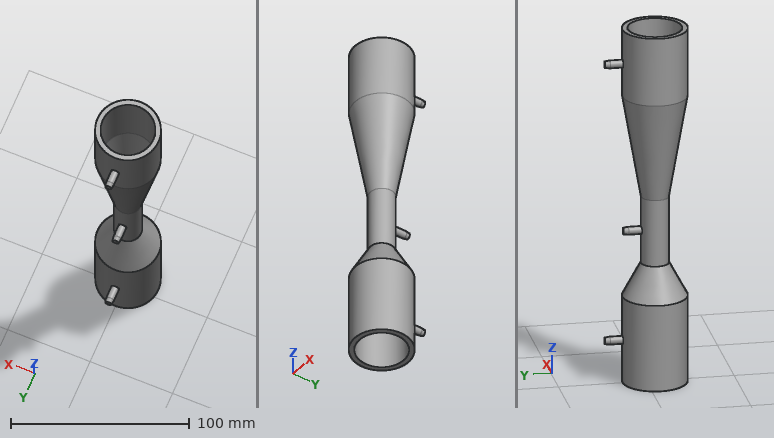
import cadquery as cq

total_length = 210.0
inlet_length = 51.0
inlet_cone_length = 19.5
throat_length = 39.5
outlet_length = 40.0
throat_bottom = inlet_length + inlet_cone_length
throat_top = throat_bottom + throat_length
outlet_bottom = total_length - outlet_length

end_radius = 18.5
throat_radius = 8.0
wall = 3.2
end_bore_radius = end_radius - wall
throat_bore_radius = throat_radius - wall

tap_radius = 2.3
tap_length = 10.0
tap_tip_length = 2.7
tap_tip_radius = 1.9
inlet_tap_height = 25.5
throat_tap_height = 90.0
outlet_tap_height = total_length - 20.2


def revolved_tube(stations):
    """Hollow solid of revolution from (height, outer radius, bore radius) stations."""
    outside = [(outer, height) for height, outer, bore in stations]
    inside = [(bore, height) for height, outer, bore in reversed(stations)]
    return cq.Workplane("XZ").polyline(outside + inside).close().revolve(360, (0, 0), (0, 1))


def pressure_tap(height, tube_radius, bore_radius):
    """Solid round tap with a tapered tip, rooted midway through the tube wall."""
    root = (tube_radius + bore_radius) / 2
    tip = tube_radius + tap_length
    profile = [
        (0, root),
        (tap_radius, root),
        (tap_radius, tip - tap_tip_length),
        (tap_tip_radius, tip),
        (0, tip),
    ]
    tap = cq.Workplane("XY").polyline(profile).close().revolve(360, (0, 0), (0, 1))
    return tap.translate((0, 0, height))


def make_inlet():
    """Inlet pipe and converging cone, ending at the start of the throat."""
    tube = revolved_tube([
        (0, end_radius, end_bore_radius),
        (inlet_length, end_radius, end_bore_radius),
        (throat_bottom, throat_radius, throat_bore_radius),
    ])
    return tube.union(pressure_tap(inlet_tap_height, end_radius, end_bore_radius))


def make_diffuser():
    """Throat, diverging cone and outlet pipe, seated on top of the inlet."""
    tube = revolved_tube([
        (throat_bottom, throat_radius, throat_bore_radius),
        (throat_top, throat_radius, throat_bore_radius),
        (outlet_bottom, end_radius, end_bore_radius),
        (total_length, end_radius, end_bore_radius),
    ])
    tube = tube.union(pressure_tap(throat_tap_height, throat_radius, throat_bore_radius))
    return tube.union(pressure_tap(outlet_tap_height, end_radius, end_bore_radius))


inlet = make_inlet()
diffuser = make_diffuser()
result = cq.Compound.makeCompound([inlet.val(), diffuser.val()])